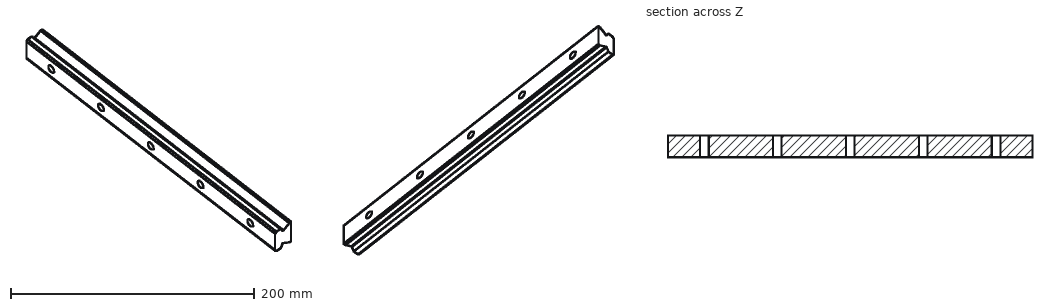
import cadquery as cq
import math

length = 300
width = 18
height = 23.0

groove_depth = 4.0
groove_lip_front = 6.3
groove_floor_front = 8.5
groove_floor_back = 9.3
groove_lip_back = 16.0
shallow_flank_angle = math.radians(30)

hollow_width = 1.8

chamfer = 1.5

hole_diameter = 7.0
hole_pitch = 60
hole_count = 5


def groove_section(side):
    """Groove section in the YZ plane: side = 1 for the top face, -1 for the bottom."""
    face = side * height / 2
    floor = face - side * groove_depth
    hollow_y = groove_lip_back - hollow_width
    flank_rise = (hollow_y - groove_floor_back) * math.tan(shallow_flank_angle)
    hollow_z = floor + side * flank_rise
    return (
        cq.Workplane("YZ")
        .moveTo(groove_lip_front, face)
        .lineTo(groove_floor_front, floor)
        .lineTo(groove_floor_back, floor)
        .lineTo(hollow_y, hollow_z)
        .tangentArcPoint((groove_lip_back, face), relative=False)
        .close()
    )


def groove(side):
    """Groove along the whole rail length."""
    return groove_section(side).extrude(length / 2, both=True)


def mounting_holes():
    """Row of plain holes centred on the rail."""
    first = -hole_pitch * (hole_count - 1) / 2
    centres = [(first + i * hole_pitch, 0) for i in range(hole_count)]
    holes = cq.Workplane("XZ").pushPoints(centres).circle(hole_diameter / 2)
    return holes.extrude(-width)


blank = cq.Workplane("XY").box(length, width, height, centered=(True, False, True))
rail = blank.faces("<Y").edges("|X").chamfer(chamfer)
for side in (1, -1):
    rail = rail.cut(groove(side))

result = rail.cut(mounting_holes())